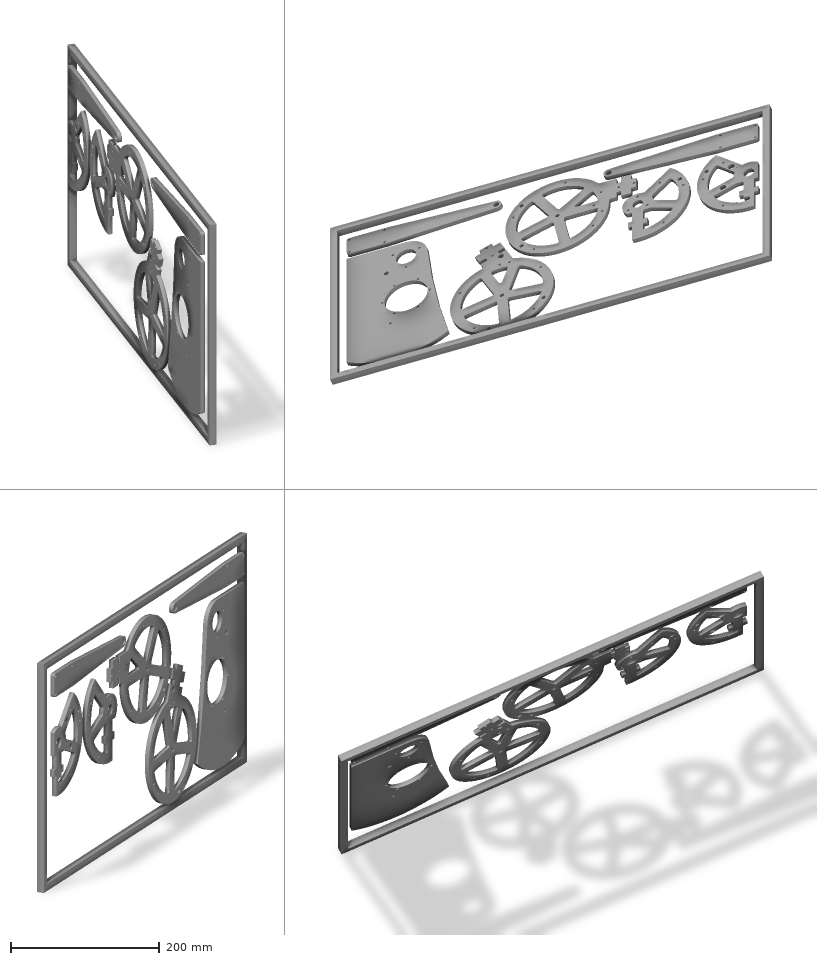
import cadquery as cq
import math


plate_thickness = 6.0
frame_length = 629.5
frame_height = 325.0
frame_bar = 10.0

rim_radius = 74.0
rim_width = 15.0
spoke_width = rim_width
window_fillet = 2.5
screw_hole = 4.0
bolt_hole = 6.0
pilot_hole = 1.0

half_spoke = spoke_width / 2
window_radius = rim_radius - rim_width
bolt_circle = rim_radius - rim_width / 2


def polar(radius, angle):
    """Point at a radius and an angle in degrees, counter-clockwise from +X."""
    return (radius * math.cos(math.radians(angle)), radius * math.sin(math.radians(angle)))


def front_plane():
    """XZ sketch plane; a positive extrusion goes toward -Y."""
    return cq.Workplane("XZ")


def block(x_min, x_max, z_min, z_max):
    """Rectangular piece of plate."""
    return (
        front_plane()
        .center((x_min + x_max) / 2, (z_min + z_max) / 2)
        .rect(x_max - x_min, z_max - z_min)
        .extrude(plate_thickness)
    )


def drill(plate, points, diameter):
    """Cut through holes of one diameter at the given (x, z) points."""
    drills = front_plane().pushPoints(points).circle(diameter / 2).extrude(plate_thickness)
    return plate.cut(drills)


def circle_of_points(centre, radius, first_angle, count):
    """Evenly spaced (x, z) points on a circle."""
    points = [polar(radius, first_angle + 360 * i / count) for i in range(count)]
    return [(centre[0] + x, centre[1] + z) for x, z in points]


def spoke_edge(radius, spoke_angle, side):
    """Point at a radius on one edge of a spoke; side +1 is the counter-clockwise edge."""
    return polar(radius, spoke_angle + side * math.degrees(math.asin(half_spoke / radius)))


def spoke_window(start, end, hub_radius=0.0):
    """Opening between the spokes at two angles, from the hub out to the rim."""
    middle = (start + end) / 2
    sketch = (
        front_plane()
        .moveTo(*spoke_edge(window_radius, start, 1))
        .threePointArc(polar(window_radius, middle), spoke_edge(window_radius, end, -1))
    )
    if hub_radius > 0:
        sketch = (
            sketch.lineTo(*spoke_edge(hub_radius, end, -1))
            .threePointArc(polar(hub_radius, middle), spoke_edge(hub_radius, start, 1))
        )
    else:
        apex_radius = half_spoke / math.sin(math.radians(end - start) / 2)
        sketch = sketch.lineTo(*polar(apex_radius, middle))
    return sketch.close().extrude(plate_thickness)


def round_corners(solid, radius):
    """Round every edge that runs through the plate thickness."""
    return solid.edges("|Y").fillet(radius)


def make_frame():
    return (
        front_plane()
        .rect(frame_length, frame_height)
        .rect(frame_length - 2 * frame_bar, frame_height - 2 * frame_bar)
        .extrude(-frame_bar)
    )


arm_height = 33.5
arm_tip_radius = 7.5
arm_tip_hole = 9.0
arm_straight = 58.5
arm_reach = 214.0
arm_corner_radius = 4.0
arm_hole_spacing = 50.5
arm_level = 126.0
arm_left_end = -294.5
arm_right_end = 294.5


def make_arm():
    """Arm with its wide end at X = 0 and its tip toward +X."""
    half = arm_height / 2
    run = arm_reach - arm_straight
    slope = math.degrees(
        math.atan2(half, run) - math.asin(arm_tip_radius / math.hypot(run, half))
    )
    tangent_x, tangent_z = polar(arm_tip_radius, 90 - slope)
    arm = (
        front_plane()
        .moveTo(0, -half)
        .lineTo(arm_straight, -half)
        .lineTo(arm_reach + tangent_x, -tangent_z)
        .threePointArc((arm_reach + arm_tip_radius, 0), (arm_reach + tangent_x, tangent_z))
        .lineTo(arm_straight, half)
        .lineTo(0, half)
        .close()
        .extrude(plate_thickness)
    )
    arm = arm.faces("<X").edges("|Y").fillet(arm_corner_radius)
    arm = drill(arm, [(arm_reach, 0)], arm_tip_hole)
    hole_z = half - arm_corner_radius
    screws = [
        (arm_corner_radius + step, side * hole_z)
        for step in (0, arm_hole_spacing)
        for side in (-1, 1)
    ]
    return drill(arm, screws, screw_hole)


spoke_pitch = 80.0
wheel_spokes = [0] + [(i + 0.5) * spoke_pitch for i in range(4)]
wheel_hub_hole = 6.0
wheel_bolt_angles = (140, 220)
wheel_extra_screw_angle = -15

tab_offset = 24.0
tab_width = 39.5
tab_neck = 19.0
tab_slot_inner = 85.0
tab_slot_width = 6.0
tab_shoulder = 106.0
tab_end = 113.5
tab_fillet = 2.5
tab_screws = (63.0, 88.0, 110.0)
spoke_screw_radius = 52.0

left_wheel_centre = (-7.0, 65.0)
right_wheel_centre = (72.5, -72.5)
right_wheel_turn = 66.4
servo_hole = 8.0
servo_hole_place = (78.0, 33.0)
servo_pilots = [(94.5, 30.0), (68.0, 36.5), (67.5, 21.0), (58.0, 24.0)]
servo_screw_place = (56.5, 36.5)


def make_wheel():
    """Spoked wheel about the origin, its tab toward +X."""
    tab_low = tab_offset - tab_width / 2
    tab_high = tab_offset + tab_width / 2
    neck_low = tab_offset - tab_neck / 2
    neck_high = tab_offset + tab_neck / 2
    wheel = front_plane().circle(rim_radius).extrude(plate_thickness)
    wheel = wheel.union(block(0, tab_shoulder, tab_low, tab_high))
    for tab_edge in (tab_low, tab_high):
        corner = (math.sqrt(rim_radius**2 - tab_edge**2), -plate_thickness / 2, tab_edge)
        wheel = wheel.edges(cq.selectors.NearestToPointSelector(corner)).fillet(tab_fillet)
    wheel = wheel.union(block(rim_radius, tab_end, neck_low, neck_high))

    slot_outer = tab_slot_inner + tab_slot_width
    wheel = wheel.cut(block(tab_slot_inner, slot_outer, tab_low, neck_low))
    wheel = wheel.cut(block(tab_slot_inner, slot_outer, neck_high, tab_high))

    window_ends = wheel_spokes[1:] + [360]
    for start, end in zip(wheel_spokes, window_ends):
        wheel = wheel.cut(round_corners(spoke_window(start, end), window_fillet))

    wheel = drill(wheel, [(0, 0)], wheel_hub_hole)
    wheel = drill(wheel, [polar(bolt_circle, angle) for angle in wheel_bolt_angles], bolt_hole)
    rim_screws = [
        polar(bolt_circle, (start + end) / 2)
        for start, end in zip(wheel_spokes[1:], window_ends[1:])
    ]
    return drill(wheel, rim_screws + [(x, tab_offset) for x in tab_screws], screw_hole)


def make_left_wheel():
    wheel = drill(
        make_wheel(),
        [polar(bolt_circle, wheel_extra_screw_angle), (spoke_screw_radius, 0)],
        screw_hole,
    )
    x, z = left_wheel_centre
    return wheel.mirror("YZ").translate((x, 0, z))


def make_right_wheel():
    wheel = drill(make_wheel(), [servo_hole_place], servo_hole)
    wheel = drill(wheel, [servo_screw_place], screw_hole)
    wheel = drill(wheel, servo_pilots, pilot_hole)
    x, z = right_wheel_centre
    return wheel.rotate((0, 0, 0), (0, -1, 0), right_wheel_turn).translate((x, 0, z))


sector_spokes = (-90.0, -22.5, 45.0)
sector_hub_radius = 22.0
sector_hub_hole = 15.0
shoulder_level = -16.0
crossbar_top = -34.5
crossbar_height = 10.0
crossbar_half_length = 14.0
sector_bolt_angle = 25.0

left_sector_centre = (-281.5, 41.5)
left_sector_flat = -13.0
left_spoke_screw_radius = 51.5
left_slot_radius = 4.5
left_slot_end = (2.5, -55.0)
upper_bearing_hole = 10.0
upper_bearing_place = (25.0, 23.0)
middle_bearing_hole = 9.5
middle_bearing_place = (37.0, -16.5)
left_pilots = [(17.5, 18.0), (28.5, -11.5), (53.0, -21.5), (0, -38.5), (3.0, -65.5)]

right_sector_centre = (-122.0, 41.5)
right_spoke_screw_radius = 45.5
hub_screw_circle = 16.0
hub_screw_start = 90
hub_screw_count = 3


def make_sector():
    """Spoked sector about the origin, its rim toward +X and its lower spoke along -Z."""
    low, middle, high = sector_spokes
    sector = (
        front_plane()
        .moveTo(*spoke_edge(rim_radius, low, -1))
        .threePointArc(polar(rim_radius, middle), spoke_edge(rim_radius, high, 1))
        .lineTo(*polar(half_spoke, high + 90))
        .lineTo(-half_spoke, 0)
        .close()
        .extrude(plate_thickness)
    )
    sector = sector.union(front_plane().circle(sector_hub_radius).extrude(plate_thickness))
    below_hub = block(-sector_hub_radius, -half_spoke, -sector_hub_radius, shoulder_level)
    sector = sector.cut(below_hub)

    upper_window = spoke_window(middle, high, sector_hub_radius)
    lower_window = spoke_window(low, middle).intersect(
        block(0, rim_radius, -rim_radius, shoulder_level)
    )
    for window in (upper_window, lower_window):
        sector = sector.cut(round_corners(window, window_fillet))
    crossbar = block(
        -crossbar_half_length, crossbar_half_length, crossbar_top - crossbar_height, crossbar_top
    )
    sector = sector.union(crossbar)

    sector = drill(sector, [(0, 0)], sector_hub_hole)
    sector = drill(sector, [polar(bolt_circle, sector_bolt_angle)], bolt_hole)
    rim_screws = [polar(bolt_circle, angle) for angle in ((low + middle) / 2, (middle + high) / 2)]
    return drill(sector, rim_screws, screw_hole)


def make_left_sector():
    sector = make_sector()
    sector = sector.cut(
        block(-sector_hub_radius, left_sector_flat, shoulder_level, sector_hub_radius)
    )
    slot_x, slot_z = left_slot_end
    sector = drill(sector, [left_slot_end], 2 * left_slot_radius)
    sector = sector.cut(
        block(slot_x, spoke_width, slot_z - left_slot_radius, slot_z + left_slot_radius)
    )
    sector = drill(sector, [upper_bearing_place], upper_bearing_hole)
    sector = drill(sector, [middle_bearing_place], middle_bearing_hole)
    sector = drill(sector, [polar(left_spoke_screw_radius, sector_spokes[2])], screw_hole)
    sector = drill(sector, left_pilots, pilot_hole)
    x, z = left_sector_centre
    return sector.translate((x, 0, z))


def make_right_sector():
    hub_screws = circle_of_points((0, 0), hub_screw_circle, hub_screw_start, hub_screw_count)
    spoke_screw = polar(right_spoke_screw_radius, sector_spokes[2])
    sector = drill(make_sector(), hub_screws + [spoke_screw], screw_hole)
    x, z = right_sector_centre
    return sector.mirror("YZ").translate((x, 0, z))


base_right = arm_right_end
base_top = 99.5
base_left_corner = (149.0, -116.0)
base_low_point = (226.5, -141.5)
base_right_corner_z = -122.0
base_waist = (168.0, -22.0)
corner_end_angle = 174
pivot = (209.5, 68.5)
pivot_hole = 29.0
pivot_bolt_circle = 22.0
pivot_bolt_start = 30
pivot_bolt_count = 3
bore = (209.5, -16.5)
bore_hole = 62.0
bore_bolt_circle = 34.0
bore_bolt_count = 6
base_dowel = (238.0, 45.0)
base_dowel_hole = 7.0
base_pilots = [(192.5, 43.5), (192.5, 34.0), (240.5, 2.0), (179.5, -33.0), (239.0, -70.5)]
base_screw = (232.5, -65.0)


def make_base():
    corner_radius = base_top - pivot[1]

    def on_corner(angle):
        x, z = polar(corner_radius, angle)
        return (pivot[0] + x, pivot[1] + z)

    base = (
        front_plane()
        .moveTo(*base_left_corner)
        .threePointArc(base_low_point, (base_right, base_right_corner_z))
        .lineTo(base_right, base_top)
        .lineTo(pivot[0], base_top)
        .threePointArc(on_corner((90 + corner_end_angle) / 2), on_corner(corner_end_angle))
        .threePointArc(base_waist, base_left_corner)
        .close()
        .extrude(plate_thickness)
    )

    pivot_bolts = circle_of_points(pivot, pivot_bolt_circle, pivot_bolt_start, pivot_bolt_count)
    bore_bolts = circle_of_points(bore, bore_bolt_circle, 0, bore_bolt_count)
    base = drill(base, [pivot], pivot_hole)
    base = drill(base, [bore], bore_hole)
    base = drill(base, [base_dowel], base_dowel_hole)
    base = drill(base, pivot_bolts, screw_hole)
    base = drill(base, bore_bolts + [base_screw], screw_hole)
    return drill(base, base_pilots, pilot_hole)


frame = make_frame()
left_arm = make_arm().translate((arm_left_end, 0, arm_level))
right_arm = make_arm().mirror("YZ").translate((arm_right_end, 0, arm_level))
bodies = [
    frame,
    left_arm,
    right_arm,
    make_left_wheel(),
    make_right_wheel(),
    make_left_sector(),
    make_right_sector(),
    make_base(),
]
result = cq.Compound.makeCompound([body.val() for body in bodies])